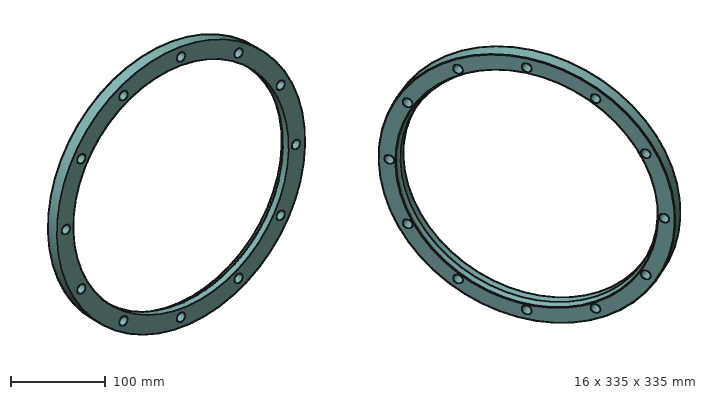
import cadquery as cq

outer_radius = 167.5
thickness = 16.0
bore_radius = 145.0

recess_radius = 147.7
recess_round = recess_radius - bore_radius
recess_depth = 6.7

edge_chamfer = 0.7

bolt_count = 12
bolt_circle_radius = 155.0
bolt_hole_diameter = 11.0

front_x = -thickness / 2
back_x = thickness / 2
recess_floor_x = front_x + recess_depth


def ring_body():
    """Revolve the ring section, drawn as (axial X, radial Z), about the X axis."""
    section = (
        cq.Workplane("XZ")
        .moveTo(front_x, recess_radius + edge_chamfer)
        .lineTo(front_x + edge_chamfer, recess_radius)
        .lineTo(recess_floor_x - recess_round, recess_radius)
        .radiusArc((recess_floor_x, bore_radius), recess_round)
        .lineTo(back_x, bore_radius)
        .lineTo(back_x, outer_radius)
        .lineTo(front_x + edge_chamfer, outer_radius)
        .lineTo(front_x, outer_radius - edge_chamfer)
        .close()
    )
    return section.revolve(360, (0, 0, 0), (1, 0, 0))


def bolt_holes():
    """Evenly spaced through holes, one of them on the Y axis."""
    return (
        cq.Workplane("YZ", origin=(front_x, 0, 0))
        .polarArray(bolt_circle_radius, 0, 360, bolt_count)
        .circle(bolt_hole_diameter / 2)
        .extrude(thickness)
    )


result = ring_body().cut(bolt_holes())